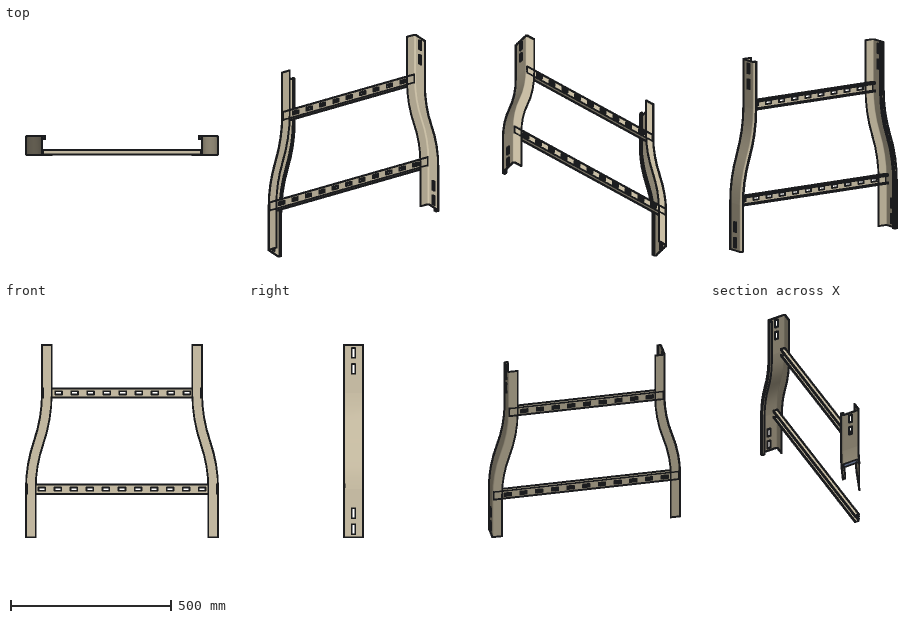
import cadquery as cq
import math

height = 600.0
bottom_width = 600.0
top_width = 500.0
rail_depth = 60.0
straight_length = 150.0

rail_sheet = 2.0
rail_corner_radius = 5.0
front_flange = 31.0
back_flange = 11.5
lip_length = 9.5

rail_slot_length = 30.0
rail_slot_width = 11.0
rail_slot_end_distance = 25.0
rail_slot_pitch = 50.0

rung_height = 30.0
rung_depth = 15.0
rung_sheet = 1.5
rung_corner_radius = 2.5
rung_lip_height = 5.0
rung_slot_length = 20.5
rung_slot_height = 9.5
rung_slot_span = 500.0
upper_slot_shift = 2.5
lower_slot_count = 11
upper_slot_count = 9

inset = (bottom_width - top_width) / 2
bend_length = height / 2 - straight_length
bend_radius = (bend_length**2 + (inset / 2)**2) / inset
lower_rung_z = straight_length
upper_rung_z = height - straight_length
rung_front_y = rail_sheet
rung_slot_pitch = rung_slot_span / (lower_slot_count - 1)


def rail_offset(z):
    """Distance the left rail's outer face has moved inwards at height z."""
    if z <= straight_length:
        return 0.0
    if z >= height - straight_length:
        return inset
    if z <= height / 2:
        return bend_radius - math.sqrt(bend_radius**2 - (z - straight_length)**2)
    above = height - straight_length - z
    return inset - bend_radius + math.sqrt(bend_radius**2 - above**2)


def rail_path():
    """S-shaped line followed by the outer face of the left rail."""
    def point(z):
        return (rail_offset(z) - bottom_width / 2, z)

    lower_bend = straight_length
    upper_bend = height - straight_length
    middle = height / 2
    return (
        cq.Workplane("XZ")
        .moveTo(*point(0))
        .lineTo(*point(lower_bend))
        .threePointArc(point((lower_bend + middle) / 2), point(middle))
        .threePointArc(point((middle + upper_bend) / 2), point(upper_bend))
        .lineTo(*point(height))
    )


def rail_section():
    """Sheet-metal channel outline at the foot of the left rail."""
    t = rail_sheet
    r = rail_corner_radius
    return (
        cq.Workplane("XY", origin=(-bottom_width / 2, 0, 0))
        .moveTo(front_flange, 0)
        .lineTo(r, 0)
        .radiusArc((0, r), r)
        .lineTo(0, rail_depth - r)
        .radiusArc((r, rail_depth), r)
        .lineTo(back_flange, rail_depth)
        .lineTo(back_flange, rail_depth - lip_length)
        .lineTo(back_flange - t, rail_depth - lip_length)
        .lineTo(back_flange - t, rail_depth - t)
        .lineTo(r, rail_depth - t)
        .radiusArc((t, rail_depth - r), -(r - t))
        .lineTo(t, r)
        .radiusArc((r, t), -(r - t))
        .lineTo(front_flange, t)
        .close()
    )


def rail_slots():
    """Cutters for the two slots at each end of the left rail's web."""
    from_end = (rail_slot_end_distance, rail_slot_end_distance + rail_slot_pitch)
    cutters = cq.Workplane("XY")
    for distance in from_end:
        for z in (distance, height - distance):
            web_x = rail_offset(z) - bottom_width / 2
            cutters = cutters.union(
                cq.Workplane("XY")
                .box(4 * rail_sheet, rail_slot_width, rail_slot_length)
                .translate((web_x, rail_depth / 2, z))
            )
    return cutters


def make_left_rail():
    """Section swept along the S-shaped path, with its web slots cut."""
    return rail_section().sweep(rail_path()).cut(rail_slots())


def make_rung(z, slot_count, slot_shift):
    """Slotted channel between the rails, its ends clear of the rail corner bends."""
    half_length = bottom_width / 2 - rail_offset(z + rung_height / 2) - rail_corner_radius
    length = 2 * half_length
    cut_through = 2 * rung_sheet

    def bar(depth, bar_height, front_y):
        return (
            cq.Workplane("XY")
            .box(length, depth, bar_height, centered=(True, False, True))
            .translate((0, front_y, 0))
        )

    outer = bar(rung_depth, rung_height, 0).edges("|X").fillet(rung_corner_radius)
    hollow = bar(rung_depth - 2 * rung_sheet, rung_height - 2 * rung_sheet, rung_sheet)
    back_opening = bar(cut_through, rung_height - 2 * rung_lip_height, rung_depth - rung_sheet)
    slots = (
        cq.Workplane("XY")
        .rarray(rung_slot_pitch, 6, slot_count, 1)
        .rect(rung_slot_length, cut_through)
        .extrude(rung_slot_height / 2, both=True)
        .translate((slot_shift, 0, 0))
    )
    return outer.cut(hollow).cut(back_opening).cut(slots).translate((0, rung_front_y, z))


left_rail = make_left_rail()
right_rail = left_rail.mirror("YZ")
rungs = [
    make_rung(z, slot_count, slot_shift)
    for z, slot_count, slot_shift in (
        (lower_rung_z, lower_slot_count, 0),
        (upper_rung_z, upper_slot_count, upper_slot_shift),
    )
]

result = cq.Compound.makeCompound([left_rail.val(), right_rail.val(), *[rung.val() for rung in rungs]])